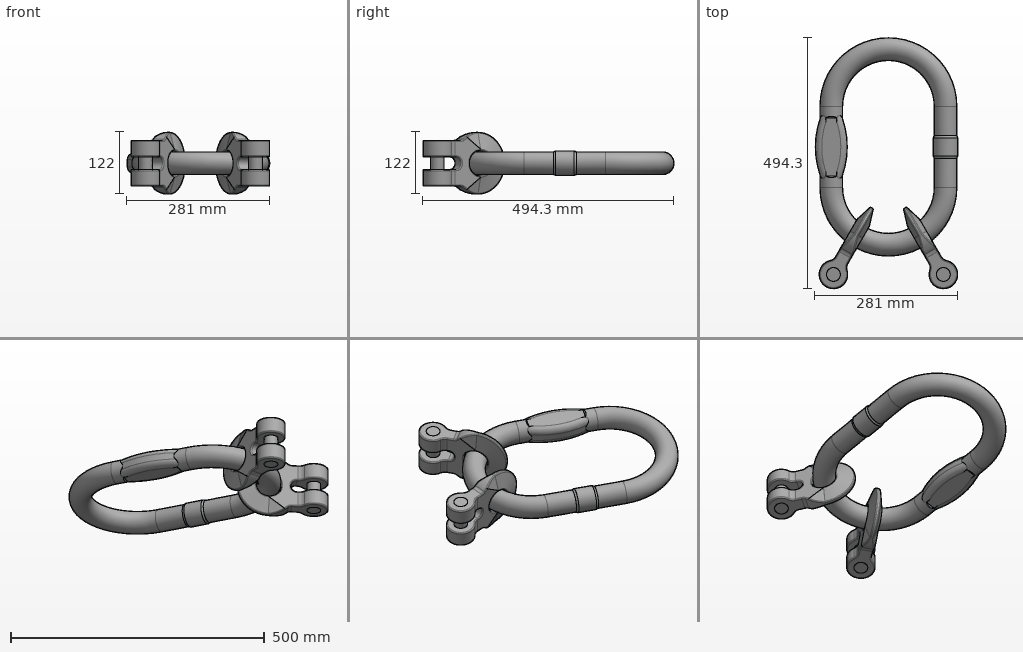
import cadquery as cq
import math

WIRE_DIAMETER = 45.0
INNER_WIDTH = 180.0
INNER_LENGTH = 340.0
BEND_RADIUS = (INNER_WIDTH + WIRE_DIAMETER) / 2
STRAIGHT_LENGTH = INNER_LENGTH - INNER_WIDTH

COLLAR_DIAMETER = 48.5
COLLAR_LENGTH = 36.0
COLLAR_TAPER = 4.5

PAD_WIDTH = 63.5
PAD_HEIGHT = 39.5
PAD_LENGTH = 128.5
PAD_END_WIDTH = 37.5
PAD_CORNER_RADIUS = 13.0
FLAT_LENGTH = 114.5
FLAT_END_RAMP = 3.0

COUPLING_TILT = 30
PIN_X = 108.5
PIN_Y = -251.0
PIN_DIAMETER = 27.0
HEAD_DIAMETER = 56.5
HEAD_HEIGHT = 90.5
NECK_FILLET = 16.5
BODY_THICKNESS = 27.5
EYE_OFFSET = 90.5
EYE_DIAMETER = 122.0
EYE_HOLE_DIAMETER = 50.0
SHOULDER_FILLET = 12.5
RIM_THICKNESS = 7.5
BEVEL_INNER_RADIUS = 27.5
BEVEL_RUN = 32.0
BEVEL_RISE = 24.5
SLOT_WIDTH = 24.5
SLOT_END = 47.0
EDGE_RADIUS = 2.5
EYE_HOLE_FILLET = 2.0


def link_bend(direction):
    """Half torus closing the oval at its +Y (direction 1) or -Y (direction -1) end."""
    bend_y = direction * STRAIGHT_LENGTH / 2
    return (
        cq.Workplane("XZ", origin=(BEND_RADIUS, bend_y, 0))
        .circle(WIRE_DIAMETER / 2)
        .revolve(180, (-BEND_RADIUS, 0, 0), (-BEND_RADIUS, direction, 0))
    )


def link_leg(side):
    return (
        cq.Workplane("XZ", origin=(side * BEND_RADIUS, 0, 0))
        .circle(WIRE_DIAMETER / 2)
        .extrude(STRAIGHT_LENGTH / 2, both=True)
    )


def weld_collar():
    """Thicker band around the +X leg with a short taper at each end."""
    half_length = COLLAR_LENGTH / 2
    return (
        cq.Workplane("XY", origin=(BEND_RADIUS, 0, 0))
        .moveTo(0, -half_length - COLLAR_TAPER)
        .lineTo(WIRE_DIAMETER / 2, -half_length - COLLAR_TAPER)
        .lineTo(COLLAR_DIAMETER / 2, -half_length)
        .lineTo(COLLAR_DIAMETER / 2, half_length)
        .lineTo(WIRE_DIAMETER / 2, half_length + COLLAR_TAPER)
        .lineTo(0, half_length + COLLAR_TAPER)
        .close()
        .revolve(360, (0, 0, 0), (0, 1, 0))
    )


def marking_pad():
    """Barrel-shaped swelling whose pointed ends run out inside the wire."""
    return (
        cq.Workplane("XY", origin=(-BEND_RADIUS, 0, 0))
        .moveTo(PAD_END_WIDTH / 2, -PAD_LENGTH / 2)
        .threePointArc((PAD_WIDTH / 2, 0), (PAD_END_WIDTH / 2, PAD_LENGTH / 2))
        .lineTo(-PAD_END_WIDTH / 2, PAD_LENGTH / 2)
        .threePointArc((-PAD_WIDTH / 2, 0), (-PAD_END_WIDTH / 2, -PAD_LENGTH / 2))
        .close()
        .extrude(PAD_HEIGHT / 2, both=True)
        .faces("|Z")
        .edges("not |X")
        .fillet(PAD_CORNER_RADIUS)
    )


def pad_flat_cut(side):
    """Trims the wire level with the pad's upper (side 1) or lower (side -1) face."""
    floor = side * PAD_HEIGHT / 2
    top = side * WIRE_DIAMETER / 2
    half_length = FLAT_LENGTH / 2
    return (
        cq.Workplane("YZ", origin=(-BEND_RADIUS, 0, 0))
        .moveTo(-half_length, floor)
        .lineTo(half_length, floor)
        .lineTo(half_length + FLAT_END_RAMP, top)
        .lineTo(-half_length - FLAT_END_RAMP, top)
        .close()
        .extrude(WIRE_DIAMETER / 2, both=True)
    )


def make_link():
    link = link_leg(1).union(link_leg(-1)).union(link_bend(1)).union(link_bend(-1))
    link = link.union(weld_collar()).union(marking_pad())
    for side in (1, -1):
        link = link.cut(pad_flat_cut(side))
    return link


def coupling_head():
    """Round clevis head blended into the neck by concave arcs, one full-height prism."""
    head_radius = HEAD_DIAMETER / 2
    half_body = BODY_THICKNESS / 2
    arc_x = half_body + NECK_FILLET
    arc_y = math.sqrt((head_radius + NECK_FILLET) ** 2 - arc_x**2)
    arc_angle = math.atan2(arc_y, arc_x)
    touch_x = head_radius * math.cos(arc_angle)
    touch_y = head_radius * math.sin(arc_angle)
    middle_angle = math.pi + arc_angle / 2
    middle_x = arc_x + NECK_FILLET * math.cos(middle_angle)
    middle_y = arc_y + NECK_FILLET * math.sin(middle_angle)
    return (
        cq.Workplane("XY")
        .moveTo(half_body, EYE_OFFSET)
        .lineTo(half_body, arc_y)
        .threePointArc((middle_x, middle_y), (touch_x, touch_y))
        .threePointArc((0, -head_radius), (-touch_x, touch_y))
        .threePointArc((-middle_x, middle_y), (-half_body, arc_y))
        .lineTo(-half_body, EYE_OFFSET)
        .close()
        .extrude(HEAD_HEIGHT / 2, both=True)
    )


def eye_disc():
    return (
        cq.Workplane("YZ", origin=(0, EYE_OFFSET, 0))
        .circle(EYE_DIAMETER / 2)
        .extrude(BODY_THICKNESS / 2, both=True)
    )


def bevel_section():
    """Triangle in X and Z, removed from the +X face of the eye above its hole."""
    half_body = BODY_THICKNESS / 2
    half_rim = RIM_THICKNESS / 2
    rim_radius = EYE_DIAMETER / 2
    slope = (half_body - half_rim) / (rim_radius - BEVEL_INNER_RADIUS)
    reach = 2 * rim_radius
    return [
        cq.Vector(half_body, EYE_OFFSET, BEVEL_INNER_RADIUS),
        cq.Vector(half_body, EYE_OFFSET, reach),
        cq.Vector(half_body - slope * (reach - BEVEL_INNER_RADIUS), EYE_OFFSET, reach),
    ]


def eye_bevel():
    """Cutter for the +X side: a half cone on the far half, a sloping plane towards the neck."""
    section = cq.Wire.makePolygon(bevel_section(), close=True)
    axis_start = cq.Vector(0, EYE_OFFSET, 0)
    axis_end = cq.Vector(5, EYE_OFFSET, 0)
    cone = cq.Solid.revolve(section, [], 180, axis_end, axis_start)
    run = cq.Vector(0, -BEVEL_RUN, BEVEL_RISE) * 2
    upper_plane = cq.Solid.extrudeLinear(section, [], run)
    return cone, upper_plane, upper_plane.mirror("XY")


def clevis_slot():
    """Round-ended slot between the ears, open past the head."""
    slot_radius = SLOT_WIDTH / 2
    arc_y = SLOT_END - slot_radius
    return (
        cq.Workplane("YZ")
        .moveTo(-HEAD_DIAMETER, -slot_radius)
        .lineTo(arc_y, -slot_radius)
        .threePointArc((SLOT_END, 0), (arc_y, slot_radius))
        .lineTo(-HEAD_DIAMETER, slot_radius)
        .close()
        .extrude(HEAD_DIAMETER, both=True)
    )


def rounded_edges(coupling):
    """Rounds the edges of the ears, the slot, the shoulders and the eye rim."""
    ears_and_slot = coupling.faces("|Z").edges("not |X")
    rim_slopes = coupling.edges("%ELLIPSE")
    rim_arcs = coupling.edges("%CIRCLE").edges(cq.selectors.RadiusNthSelector(-1))
    return ears_and_slot.add(rim_slopes).add(rim_arcs).fillet(EDGE_RADIUS)


def bored_eye(coupling):
    """Drills the eye hole and rounds both of its rims."""
    hole = (
        cq.Workplane("YZ", origin=(0, EYE_OFFSET, 0))
        .circle(EYE_HOLE_DIAMETER / 2)
        .extrude(BODY_THICKNESS, both=True)
    )
    bored = coupling.cut(hole)
    hole_reach = EYE_HOLE_DIAMETER / 2 + EYE_HOLE_FILLET
    hole_zone = cq.selectors.BoxSelector(
        (BODY_THICKNESS, EYE_OFFSET - hole_reach, -hole_reach),
        (-BODY_THICKNESS, EYE_OFFSET + hole_reach, hole_reach),
        boundingbox=True,
    )
    return bored.edges("%CIRCLE").edges(hole_zone).fillet(EYE_HOLE_FILLET)


def make_coupling():
    coupling = coupling_head().union(eye_disc())
    coupling = coupling.edges("|X").fillet(SHOULDER_FILLET)
    for cutter in eye_bevel():
        coupling = coupling.cut(cq.Workplane(cutter))
        coupling = coupling.cut(cq.Workplane(cutter.mirror("YZ")))
    coupling = coupling.cut(clevis_slot())
    coupling = bored_eye(rounded_edges(coupling))
    pin_hole = cq.Workplane("XY").circle(PIN_DIAMETER / 2).extrude(HEAD_HEIGHT, both=True)
    return coupling.cut(pin_hole)


def make_pin():
    return cq.Workplane("XY", origin=(0, 0, -HEAD_HEIGHT / 2)).circle(PIN_DIAMETER / 2).extrude(HEAD_HEIGHT)


def place(body, side):
    """Moves a body from the pin axis to the -X (side -1) or +X (side 1) coupling position."""
    tilted = body.rotate((0, 0, 0), (0, 0, 1), side * COUPLING_TILT)
    return tilted.translate((side * PIN_X, PIN_Y, 0))


link = make_link()
couplings = [place(make_coupling(), side) for side in (-1, 1)]
pins = [place(make_pin(), side) for side in (-1, 1)]

result = cq.Compound.makeCompound(
    [link.val(), *[coupling.val() for coupling in couplings], *[pin.val() for pin in pins]]
)